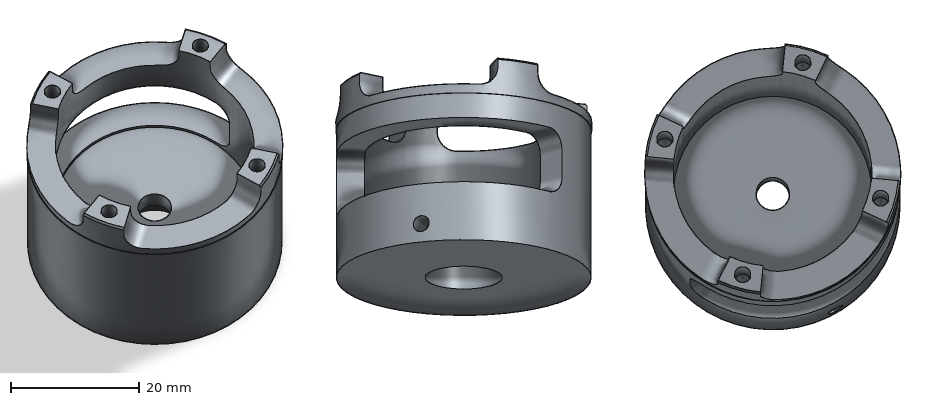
import cadquery as cq
import math

body_diameter = 39.8
cavity_diameter = 31.0
cavity_floor_z = 9.0
shaft_bore_diameter = 5.2

recess_diameter = 12.0
recess_depth = 6.0

rim_diameter = 40.0
rim_bottom_z = 24.0
rim_top_z = 25.5
total_height = 30.0

post_count = 4
post_pitch = 360 / post_count
first_post_angle = post_pitch / 2
post_half_angle = 10.0
post_root_radius = 3.0
post_edge_chamfer = 0.3

post_hole_circle_radius = 17.5
post_hole_diameter = 2.5
post_hole_depth = 6.0
drill_tip_angle = 118.0

window_bottom_z = 9.5
window_top_z = 20.0
window_half_angle = 70.0
window_corner_radius = 3.0
window_direction = 180.0

set_screw_diameter = 2.57
set_screw_z = recess_depth / 2

cutter_reach = rim_diameter


def cylinder(diameter, bottom_z, top_z):
    return cq.Workplane("XY").workplane(offset=bottom_z).circle(diameter / 2).extrude(top_z - bottom_z)


def turn(shape, angle):
    """Rotate a shape about the part's axis."""
    return shape.rotate((0, 0, 0), (0, 0, 1), angle)


def polar_point(radius, angle):
    return (radius * math.cos(math.radians(angle)), radius * math.sin(math.radians(angle)))


def wedge(half_angle, bottom_z, top_z):
    """Pie slice about the +X direction, with its tip on the part's axis."""
    return (
        cq.Workplane("XY")
        .workplane(offset=bottom_z)
        .lineTo(*polar_point(cutter_reach, -half_angle))
        .threePointArc((cutter_reach, 0), polar_point(cutter_reach, half_angle))
        .close()
        .extrude(top_z - bottom_z)
    )


def make_body():
    """Cup with its wider crown, still without posts or openings."""
    crown = cylinder(rim_diameter, rim_bottom_z, total_height)
    crown = crown.faces(">Z").edges().chamfer(post_edge_chamfer)
    body = cylinder(body_diameter, 0, rim_bottom_z).union(crown)
    body = body.cut(cylinder(cavity_diameter, cavity_floor_z, total_height))
    body = body.cut(cylinder(recess_diameter, 0, recess_depth))
    return body.cut(cylinder(shaft_bore_diameter, 0, cavity_floor_z))


def make_post_gap():
    """Cutter for the space between two posts, rounded where the flanks meet the rim."""
    gap = wedge(post_pitch / 2 - post_half_angle, rim_top_z, total_height)
    return gap.faces("<Z").edges("%LINE").fillet(post_root_radius)


def make_post_hole():
    """Drill shape with a conical tip, placed on the +X side."""
    radius = post_hole_diameter / 2
    shoulder_z = total_height - post_hole_depth
    tip_z = shoulder_z - radius / math.tan(math.radians(drill_tip_angle / 2))
    return (
        cq.Workplane("XZ")
        .polyline([(0, total_height), (radius, total_height), (radius, shoulder_z), (0, tip_z)])
        .close()
        .revolve(360, (0, 0, 0), (0, 1, 0))
        .translate((post_hole_circle_radius, 0, 0))
    )


def make_window():
    """Window cutter with radial ends and rounded corners, opening toward -X."""
    window = wedge(window_half_angle, window_bottom_z, window_top_z)
    window = window.faces("<Z or >Z").edges("%LINE").fillet(window_corner_radius)
    return turn(window, window_direction)


def make_set_screw_hole():
    hole = cq.Workplane("YZ").center(0, set_screw_z).circle(set_screw_diameter / 2).extrude(cutter_reach)
    return turn(hole, window_direction)


result = make_body()
result = result.cut(make_window())
result = result.cut(make_set_screw_hole())

for index in range(post_count):
    gap_angle = index * post_pitch
    result = result.cut(turn(make_post_gap(), gap_angle))
    result = result.cut(turn(make_post_hole(), gap_angle + first_post_angle))